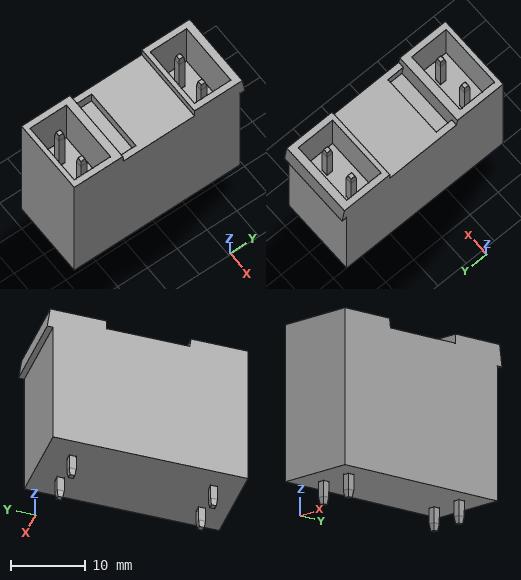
import cadquery as cq
import math

width = 12.0
overall_length = 28.68
housing_height = 22.0
ledge_overhang = 0.83
ledge_height = 3.1
draft = math.tan(math.radians(8))
back_y = overall_length - ledge_overhang

saddle_depth = 1.32
tower_length = 8.15
rear_tower_y = 20.2
saddle_z = housing_height - saddle_depth

pocket_width = 10.05
pocket_length = 6.1
pocket_front_wall = 0.72
pocket_depth = 8.6
slot_back_y = 11.07
slot_bottom_z = housing_height - ledge_height

pin_size = 1.0
pin_tip_size = 0.7
pin_tip_length = 1.0
pin_pitch = 5.0
pin_projection = 3.2
pin_top_gap = 0.9
pin_length = pin_projection + housing_height - pin_top_gap
first_pin_y = 3.81

pin_positions = [
    (x, y)
    for y in (first_pin_y, first_pin_y + rear_tower_y)
    for x in (-pin_pitch / 2, pin_pitch / 2)
]


def extrude_across(points, extent):
    """Extrude a Y-Z outline symmetrically about X = 0."""
    return cq.Workplane("YZ").polyline(points).close().extrude(extent / 2, both=True)


def make_block():
    """Side outline with the saddle on top and the overhanging ledge at the back."""
    outline = [
        (0, 0),
        (back_y, 0),
        (back_y, housing_height - ledge_height),
        (overall_length, housing_height - ledge_height),
        (overall_length - ledge_height * draft, housing_height),
        (rear_tower_y, housing_height),
        (rear_tower_y, saddle_z),
        (tower_length + saddle_depth * draft, saddle_z),
        (tower_length, housing_height),
        (0, housing_height),
    ]
    return extrude_across(outline, width)


def make_pocket(front_y):
    """Rectangular cavity open at the top of a tower."""
    return cq.Workplane("XY").box(
        pocket_width, pocket_length, pocket_depth, centered=(True, False, False)
    ).translate((0, front_y, housing_height - pocket_depth))


def make_slot():
    """Latch slot whose front wall continues the slope of the front tower."""
    outline = [
        (tower_length + saddle_depth * draft, saddle_z),
        (tower_length + ledge_height * draft, slot_bottom_z),
        (slot_back_y, slot_bottom_z),
        (slot_back_y, saddle_z),
    ]
    return extrude_across(outline, pocket_width)


def make_tip(x, y, z, direction):
    """Square frustum tapering from height z upward (1) or downward (-1)."""
    return (
        cq.Workplane("XY", origin=(x, y, z))
        .rect(pin_size, pin_size)
        .workplane(offset=direction * pin_tip_length)
        .rect(pin_tip_size, pin_tip_size)
        .loft()
    )


def make_pin(x, y):
    """Straight square pin with a tapered tip at each end."""
    shank_bottom_z = pin_tip_length - pin_projection
    shank_length = pin_length - 2 * pin_tip_length
    shank = (
        cq.Workplane("XY", origin=(x, y, shank_bottom_z))
        .rect(pin_size, pin_size)
        .extrude(shank_length)
    )
    lower_tip = make_tip(x, y, shank_bottom_z, -1)
    upper_tip = make_tip(x, y, shank_bottom_z + shank_length, 1)
    return shank.union(lower_tip).union(upper_tip)


def make_housing():
    """Block with two pockets, the latch slot and a square hole for each pin."""
    housing = make_block().cut(make_slot())
    for tower_y in (0, rear_tower_y):
        housing = housing.cut(make_pocket(tower_y + pocket_front_wall))
    pin_holes = (
        cq.Workplane("XY")
        .pushPoints(pin_positions)
        .rect(pin_size, pin_size)
        .extrude(housing_height)
    )
    return housing.cut(pin_holes)


housing = make_housing()
pins = [make_pin(x, y).val() for x, y in pin_positions]

result = cq.Compound.makeCompound([housing.val(), *pins])